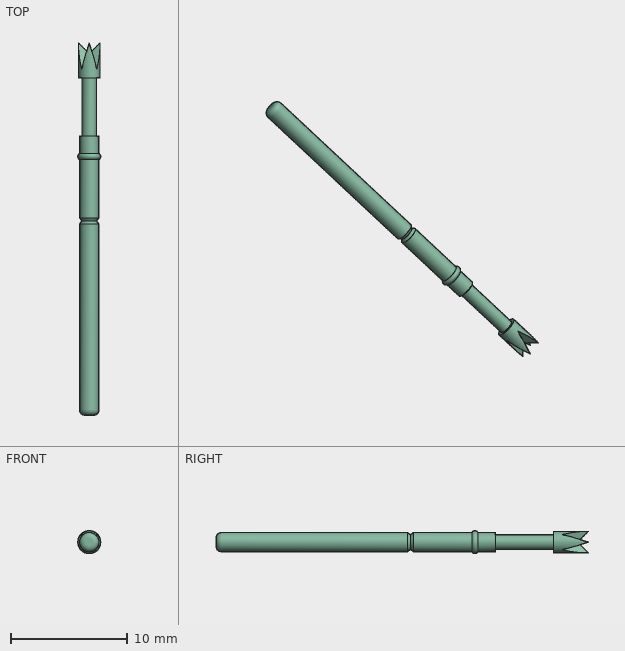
import cadquery as cq
import math

total_length = 32.0

barrel_radius = 0.83
barrel_length = 24.0
tail_round = 0.45

collar_radius = 1.0
collar_start = 22.0
collar_width = 0.5

groove_center = 16.7
groove_width = 0.5
groove_depth = 0.2

plunger_radius = 0.65
crown_radius = 0.93
crown_length = 3.0
tooth_count = 4
valley_depth = 2.25
ridge_angle = 45.0


def rod(radius, start, length):
    """Cylinder on the Y axis, starting at Y = start."""
    return cq.Workplane("XZ", origin=(0, start, 0)).circle(radius).extrude(-length)


def make_barrel():
    return rod(barrel_radius, 0, barrel_length).faces("<Y").edges().fillet(tail_round)


def make_collar():
    """Ring whose rim is one arc bulging from the barrel surface."""
    end = collar_start + collar_width
    profile = (
        cq.Workplane("XY")
        .moveTo(0, collar_start)
        .lineTo(barrel_radius, collar_start)
        .threePointArc((collar_radius, collar_start + collar_width / 2), (barrel_radius, end))
        .lineTo(0, end)
        .close()
    )
    return profile.revolve(360, (0, 0, 0), (0, 1, 0))


def make_groove():
    """Ring cutter with a V section."""
    bottom_radius = barrel_radius - groove_depth
    profile = cq.Workplane("XY").polyline([
        (barrel_radius, groove_center - groove_width / 2),
        (bottom_radius, groove_center),
        (barrel_radius, groove_center + groove_width / 2),
    ]).close()
    return profile.revolve(360, (0, 0, 0), (0, 1, 0))


def make_crown():
    """Cylinder topped by four teeth, each a tent whose ridge rises outwards to its tip."""
    slope = math.radians(ridge_angle)
    center_depth = crown_radius * math.tan(slope)
    valley_offset = crown_radius * math.sqrt(0.5)
    side_drop = math.tan(slope) + (valley_depth - center_depth) / valley_offset
    tent_height = 2 * crown_length
    half_width = tent_height / (side_drop * math.cos(slope))
    section_plane = cq.Plane(
        origin=(0, total_length - center_depth, 0),
        xDir=(0, 0, -1),
        normal=(math.cos(slope), math.sin(slope), 0),
    )
    tent = (
        cq.Workplane(section_plane)
        .polyline([(0, 0), (half_width, -tent_height), (-half_width, -tent_height)])
        .close()
        .extrude(tent_height, both=True)
    )
    crown_start = total_length - crown_length
    blank = rod(crown_radius, crown_start, crown_length)
    crown = rod(crown_radius, crown_start, crown_length - valley_depth)
    for index in range(tooth_count):
        turned_tent = tent.rotate((0, 0, 0), (0, 1, 0), index * 360 / tooth_count)
        crown = crown.union(blank.intersect(turned_tent))
    return crown


plunger = rod(plunger_radius, barrel_length, total_length - crown_length - barrel_length)
result = make_barrel().union(make_collar()).cut(make_groove()).union(plunger).union(make_crown())